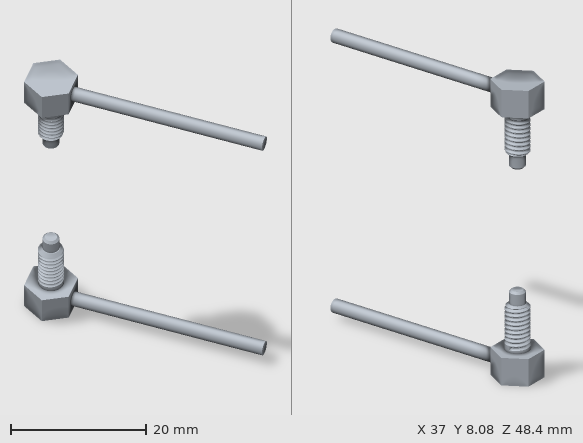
import cadquery as cq
import math

head_sides = 6
head_across_flats = 7.0
head_height = 4.5
rod_diameter = 2.2
rod_drop = 2.1
rod_end = 33.5
rod_length_inside_head = 1.0

thread_diameter = 3.9
thread_pitch = 0.7
thread_depth = 0.4
groove_mouth = 0.58
groove_root = 0.1
groove_turns = 9.25
groove_deep_end_angle = 180.0
shank_length = 7.5
shank_end_diameter = 2.8
groove_start = 0.725
tip_diameter = 2.5
tip_length = 2.2
tip_chamfer = 0.35

gap_between_tips = 20.0

head_corner_diameter = head_across_flats / math.cos(math.pi / head_sides)
screw_end = -(shank_length + tip_length)
mirror_plane_height = screw_end - gap_between_tips / 2


def make_head():
    """Hexagon standing on Z = 0, with flats facing +X and -X."""
    half_corner_angle = 180 / head_sides
    return (
        cq.Workplane("XY")
        .polygon(head_sides, head_corner_diameter)
        .extrude(head_height)
        .rotate((0, 0, 0), (0, 0, 1), half_corner_angle)
    )


def make_rod():
    """Round lever that leaves the head toward +X."""
    rod_start = head_across_flats / 2 - rod_length_inside_head
    return (
        cq.Workplane("YZ", origin=(rod_start, 0, head_height - rod_drop))
        .circle(rod_diameter / 2)
        .extrude(rod_end - rod_start)
    )


def make_screw_blank():
    """Unthreaded shank with chamfered end and a thinner chamfered tip."""
    shank_radius = thread_diameter / 2
    shank_chamfer = shank_radius - shank_end_diameter / 2
    shank = (
        cq.Workplane("XY")
        .circle(shank_radius)
        .extrude(-shank_length)
        .faces("<Z")
        .chamfer(shank_chamfer)
    )
    tip = (
        cq.Workplane("XY", origin=(0, 0, -shank_length))
        .circle(tip_diameter / 2)
        .extrude(-tip_length)
        .faces("<Z")
        .chamfer(tip_chamfer)
    )
    return shank.union(tip)


def make_thread_groove():
    """Left-hand helical groove, from below the head down to the shank end."""
    clearance = 0.1
    crest_radius = thread_diameter / 2
    root_radius = crest_radius - thread_depth
    outer_radius = crest_radius + clearance
    flank_slope = (groove_mouth - groove_root) / 2 / thread_depth
    half_root = groove_root / 2
    half_outer = half_root + flank_slope * (outer_radius - root_radius)
    groove_length = groove_turns * thread_pitch
    path = cq.Wire.makeHelix(thread_pitch, groove_length, root_radius, lefthand=True)
    groove = (
        cq.Workplane("XZ")
        .polyline([
            (root_radius, -half_root),
            (outer_radius, -half_outer),
            (outer_radius, half_outer),
            (root_radius, half_root),
        ])
        .close()
        .sweep(cq.Workplane(obj=path), isFrenet=True)
    )
    groove = groove.rotate((0, 0, 0), (0, 0, 1), groove_deep_end_angle)
    return groove.translate((0, 0, -groove_start - groove_length))


def make_lever_screw():
    """Head, lever and threaded screw as one body, tip pointing down."""
    screw = make_screw_blank().cut(make_thread_groove())
    return make_head().union(make_rod()).union(screw)


upper_screw = make_lever_screw()
lower_screw = upper_screw.mirror("XY", (0, 0, mirror_plane_height))

result = cq.Compound.makeCompound([upper_screw.val(), lower_screw.val()])